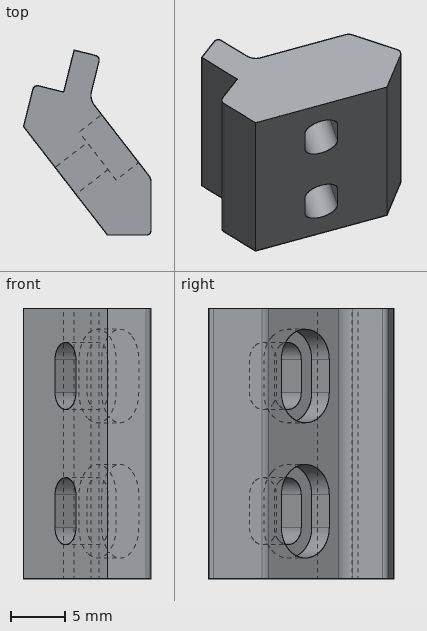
import cadquery as cq
import math

height = 25.0
width = 11.8
depth = 17.12

foot_x = 7.78
body_thickness = 6.4

head_tilt = math.radians(14)
shoulder_side = 4.0
shoulder_width = 2.82
tongue_length = 4.0
tongue_width = 2.5

corner_radius = 0.45
neck_radius = 1.5
knee_radius = 1.0

slot_width = 3.15
slot_length = 6.2
recess_margin = 1.22
recess_start = 3.75
slot_levels = (height / 4, height * 3 / 4)


def move(point, direction, distance):
    return (point[0] + direction[0] * distance, point[1] + direction[1] * distance)


along = (math.sin(head_tilt), math.cos(head_tilt))
across = (math.cos(head_tilt), -math.sin(head_tilt))

side_y = depth - (shoulder_side + tongue_length) * along[1] - shoulder_width * across[1]
side = (0.0, side_y)
shoulder = move(side, along, shoulder_side)
notch = move(shoulder, across, shoulder_width)
tip_inner = move(notch, along, tongue_length)
tip_outer = move(tip_inner, across, tongue_width)
foot = (foot_x, 0.0)
heel = (width, 0.0)

face_length = math.hypot(foot_x, side_y)
slope = (foot_x / face_length, -side_y / face_length)
inward = (-slope[1], slope[0])
back_start = move(side, inward, body_thickness)

knee = move(back_start, slope, (width - back_start[0]) / slope[0])

gap = (tip_outer[0] - back_start[0], tip_outer[1] - back_start[1])
tip_clearance = gap[0] * inward[0] + gap[1] * inward[1]
neck_drop = tip_clearance / (along[0] * inward[0] + along[1] * inward[1])
neck = move(tip_outer, along, -neck_drop)

outline = [side, shoulder, notch, tip_inner, tip_outer, neck, knee, heel, foot]
body = cq.Workplane("XY").polyline(outline).close().extrude(height)


def round_corner(solid, corner, radius):
    """Fillet the vertical edge that stands on an outline corner."""
    edge_middle = (corner[0], corner[1], height / 2)
    return solid.edges(cq.selectors.NearestToPointSelector(edge_middle)).fillet(radius)


for sharp_corner in (shoulder, tip_outer, heel):
    body = round_corner(body, sharp_corner, corner_radius)
body = round_corner(body, neck, neck_radius)
body = round_corner(body, knee, knee_radius)


def slot_cutter(level, margin, start_depth):
    """Upright slot running from a depth below the slanted front face out through the back.

    The margin widens the slot all round.
    """
    face_plane = cq.Plane(
        origin=(foot_x / 2, side_y / 2, level),
        xDir=(0, 0, 1),
        normal=(inward[0], inward[1], 0),
    )
    return (
        cq.Workplane(face_plane)
        .workplane(offset=start_depth)
        .slot2D(slot_length + 2 * margin, slot_width + 2 * margin)
        .extrude(body_thickness - start_depth)
    )


for slot_level in slot_levels:
    body = body.cut(slot_cutter(slot_level, 0, 0))
    body = body.cut(slot_cutter(slot_level, recess_margin, recess_start))

result = body